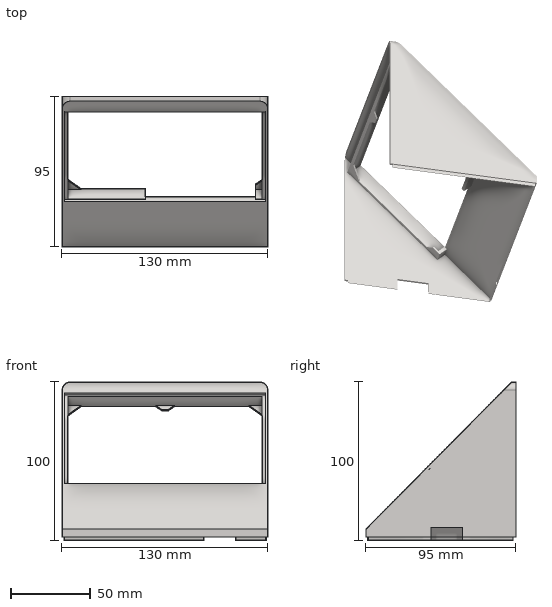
import cadquery as cq
import math

width = 130.0
depth = 95.0
height = 100.0
wall = 1.5

lip_height = 2.0
front_height = 5.1
top_depth = 3.0
top_corner_radius = 5.1
plate_thickness = 4.3

lip_inset = 1.0
lip_back_inset = 2.0
lip_notch_start = 89.6
notch_width = 20.0
side_notch_back = 61.1
side_notch_top = 7.9

window_start = 40.8
window_length = 80.2
recess_depth = 1.8
ledge_side = 2.1
ledge_bottom = 0.4
ledge_top = 1.2
frame_wall = 2.2
pocket_depth = 10.0
tab_thickness = 1.0
frame_gap_start = 52.5
frame_gap_end = 122.1

corner_tab_leg = 8.2
middle_tab_base = 11.7
middle_tab_tip = 4.2
middle_tab_height = 3.6

slope_base = lip_height + front_height
slope_run = depth - top_depth
slope_rise = height - slope_base
slope_angle = math.atan2(slope_rise, slope_run)
frame_depth = pocket_depth + tab_thickness

pocket_left = wall + ledge_side
pocket_right = width - pocket_left
pocket_bottom = window_start + ledge_bottom
pocket_top = window_start + window_length - ledge_top
frame_bottom = pocket_bottom - frame_wall
frame_top = pocket_top + frame_wall


def side_prism(points, x_start, x_end):
    """Extrude an outline of (y, z) points along X."""
    return cq.Workplane("YZ", origin=(x_start, 0, 0)).polyline(points).close().extrude(x_end - x_start)


def slope_plane(below):
    """Plane parallel to the sloping face, the given distance beneath it."""
    normal = (0, -math.sin(slope_angle), math.cos(slope_angle))
    origin = (0, -below * normal[1], slope_base - below * normal[2])
    return cq.Workplane(cq.Plane(origin=origin, xDir=(1, 0, 0), normal=normal))


def slope_block(x_start, x_end, s_start, s_end, near, far):
    """Block square to the sloping face, between two depths beneath it."""
    block = slope_plane(far).moveTo(x_start, s_start).rect(x_end - x_start, s_end - s_start, centered=False)
    return block.extrude(far - near)


def slope_tab(points):
    """Thin tab at the back of the display pocket."""
    return slope_plane(frame_depth).polyline(points).close().extrude(tab_thickness)


def make_envelope():
    outline = [(0, lip_height), (depth, lip_height), (depth, height), (slope_run, height), (0, slope_base)]
    return side_prism(outline, 0, width).edges("|Y and >Z").fillet(top_corner_radius)


def make_cavity():
    """Space behind the sloping plate, open at the back and the bottom."""
    plate_drop = plate_thickness / math.cos(slope_angle)
    slope_at_back = slope_base + depth * math.tan(slope_angle) - plate_drop
    slope_at_front = slope_base + wall * math.tan(slope_angle) - plate_drop
    outline = [(wall, lip_height), (depth, lip_height), (depth, slope_at_back), (wall, slope_at_front)]
    return side_prism(outline, wall, width - wall)


def make_lip():
    """Thin rim below the side walls and the front, open at the back."""
    lip_length = depth - lip_inset - lip_back_inset
    rim = cq.Workplane("XY").box(width - 2 * lip_inset, lip_length, lip_height, centered=False)
    rim = rim.translate((lip_inset, lip_inset, 0))
    inside = cq.Workplane("XY").box(width - 2 * wall, depth, lip_height, centered=False)
    rim = rim.cut(inside.translate((wall, wall, 0)))
    notch = cq.Workplane("XY").box(notch_width, 2 * wall, lip_height, centered=False)
    return rim.cut(notch.translate((lip_notch_start, 0, 0)))


def make_frame_gap():
    """Opening through the lower frame wall, which also clips the lower right tab."""
    above_plate = slope_block(
        frame_gap_start, frame_gap_end, window_start, pocket_bottom + corner_tab_leg, 0, frame_depth
    )
    behind_plate = slope_block(
        frame_gap_start, frame_gap_end, frame_bottom, window_start, plate_thickness, frame_depth
    )
    return above_plate.union(behind_plate)


def make_side_notch():
    """Cable notch in the lower edge of the right wall."""
    notch = cq.Workplane("XY").box(2 * wall, notch_width, side_notch_top, centered=False)
    return notch.translate((width - 2 * wall, side_notch_back - notch_width, 0))


def make_tabs():
    """Corner tabs and a middle tab that hold the display from behind."""
    tabs = cq.Workplane("XY")
    for x, x_way in ((pocket_left, 1), (pocket_right, -1)):
        for s, s_way in ((pocket_bottom, 1), (pocket_top, -1)):
            x_tip = x + x_way * corner_tab_leg
            s_tip = s + s_way * corner_tab_leg
            tabs = tabs.add(slope_tab([(x, s), (x_tip, s), (x, s_tip)]))
    middle = width / 2
    tip = pocket_top - middle_tab_height
    tabs = tabs.add(slope_tab([
        (middle - middle_tab_base / 2, pocket_top),
        (middle + middle_tab_base / 2, pocket_top),
        (middle + middle_tab_tip / 2, tip),
        (middle - middle_tab_tip / 2, tip),
    ]))
    return tabs.combine()


envelope = make_envelope()
frame = slope_block(wall, width - wall, frame_bottom, frame_top, recess_depth, frame_depth)
recess = slope_block(wall, width - wall, window_start, window_start + window_length, 0, recess_depth)
pocket = slope_block(pocket_left, pocket_right, pocket_bottom, pocket_top, 0, frame_depth)

body = envelope.cut(make_cavity()).union(frame.intersect(envelope))
body = body.cut(recess).cut(pocket)
body = body.union(make_tabs()).cut(make_frame_gap())
result = body.union(make_lip()).cut(make_side_notch())